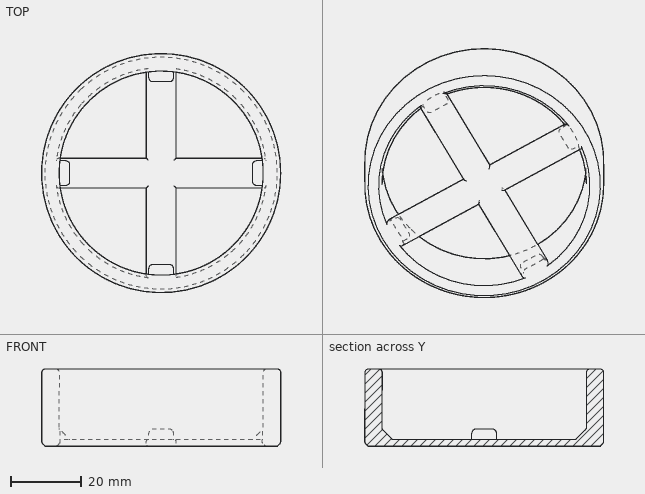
import cadquery as cq
outer_diameter = 68.0
inner_diameter = 58.0
height = 22.0
top_fillet = 1.0
bottom_chamfer = 1.0
bottom_chamfer_blend = 1.0

arm_width = 8.5
arm_thickness = 2.0
arm_edge_fillet = 0.7

gusset_length = 3.0
gusset_height = 3.0
gusset_fillet = 1.0
gusset_width = arm_width - 2 * arm_edge_fillet
gusset_count = 4

outer_radius = outer_diameter / 2
inner_radius = inner_diameter / 2
wall_middle_radius = (outer_radius + inner_radius) / 2


def make_ring():
    """Ring with rounded top edges and chamfered bottom edges blended into the walls."""
    ring = cq.Workplane("XY").circle(outer_radius).circle(inner_radius).extrude(height)
    ring = ring.faces("<Z").edges().chamfer(bottom_chamfer)
    ring = ring.faces("%CYLINDER").edges("<Z").fillet(bottom_chamfer_blend)
    return ring.faces(">Z").edges().fillet(top_fillet)


def make_cross():
    """Two crossed arms with rounded long edges, ending inside the ring wall."""
    span = 2 * wall_middle_radius
    along_x = cq.Workplane("XY").rect(span, arm_width).extrude(arm_thickness)
    along_x = along_x.edges("|X").fillet(arm_edge_fillet)
    along_y = along_x.rotate((0, 0, 0), (0, 0, 1), 90)
    return along_x.union(along_y)


def make_gusset():
    """Wedge at the +X arm end, rising towards the wall, with rounded sloped edges."""
    foot_radius = inner_radius - gusset_length
    slope = gusset_height / gusset_length
    back_height = slope * (wall_middle_radius - foot_radius)
    wedge = (
        cq.Workplane("XZ")
        .moveTo(foot_radius, arm_thickness)
        .lineTo(wall_middle_radius, arm_thickness)
        .lineTo(wall_middle_radius, arm_thickness + back_height)
        .close()
        .extrude(gusset_width / 2, both=True)
    )
    middle_radius = (foot_radius + wall_middle_radius) / 2
    middle_z = arm_thickness + back_height / 2
    for side in (-1, 1):
        edge_middle = (middle_radius, side * gusset_width / 2, middle_z)
        sloped_edge = cq.selectors.NearestToPointSelector(edge_middle)
        wedge = wedge.edges(sloped_edge).fillet(gusset_fillet)
    return wedge


result = make_ring().union(make_cross())
gusset = make_gusset()
for index in range(gusset_count):
    angle = index * 360 / gusset_count
    result = result.union(gusset.rotate((0, 0, 0), (0, 0, 1), angle))